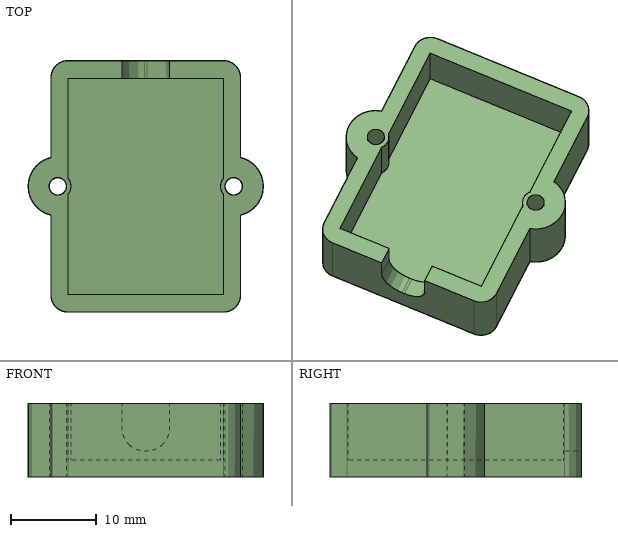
import cadquery as cq

length = 29.37
width = 22.15
height = 8.6
side_wall = 2.0
end_wall = 2.09
floor = 2.0
corner_radius = 2.0

overall_width = 27.45
ear_radius = 3.47
ear_offset = overall_width / 2 - ear_radius
screw_hole_radius = 1.0
screw_boss_radius = 1.53

notch_width = 5.52
notch_depth = 5.52
notch_flat = 0.3
notch_radius = (notch_width - notch_flat) / 2

ear_centres = [(-ear_offset, 0), (ear_offset, 0)]


def ear_cylinders(radius):
    """Full-height cylinders on both screw axes."""
    return cq.Workplane("XY").pushPoints(ear_centres).circle(radius).extrude(height)


def rounded_block():
    block = cq.Workplane("XY").rect(width, length).extrude(height)
    return block.edges("|Z").fillet(corner_radius)


def cavity():
    pocket = cq.Workplane("XY").workplane(offset=floor)
    pocket = pocket.rect(width - 2 * side_wall, length - 2 * end_wall).extrude(height - floor)
    return pocket.cut(ear_cylinders(screw_boss_radius))


def cable_notch():
    """Open-topped slot whose lower corners are rounded."""
    slot = cq.Workplane("XY").box(notch_width, end_wall, notch_depth, centered=(True, False, False))
    slot = slot.edges("|Y and <Z").fillet(notch_radius)
    return slot.translate((0, length / 2 - end_wall, height - notch_depth))


result = (
    rounded_block()
    .union(ear_cylinders(ear_radius))
    .cut(cavity())
    .cut(ear_cylinders(screw_hole_radius))
    .cut(cable_notch())
)